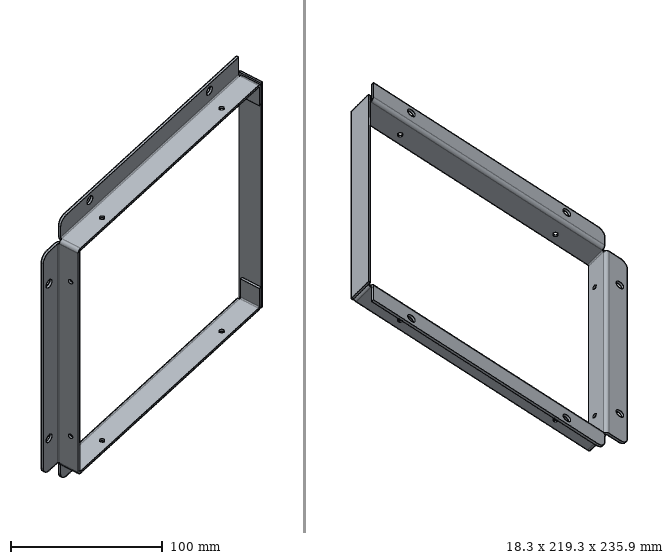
import cadquery as cq

depth = 18.26
overall_y = 219.27
overall_z = 235.95

sheet = 1.885
bend_inner = 0.8
bend_outer = bend_inner + sheet
frame_height = 203.2
tab_length = 19.05

strip_thickness = 1.52

flange_reach = (overall_z - frame_height) / 2
flange_corner = 6.35
flange_hole = 6.35
flange_hole_edge = 6.35

wall_hole = 3.45
wall_hole_edge = 6.35
wall_hole_x = depth - wall_hole_edge

hole_spacing_y = 131.6
hole_spacing_z = 139.7

half_height = frame_height / 2
strip_outer_y = overall_y / 2
tab_outer_y = strip_outer_y - strip_thickness
wall_outer_y = -overall_y / 2 + flange_reach
frame_mid_y = (tab_outer_y + wall_outer_y) / 2
frame_width = tab_outer_y - wall_outer_y

flange_length_y = frame_width - 2 * bend_outer
flange_length_z = frame_height - 2 * bend_outer


def rounded_block(width, height, radius):
    """Block with rounded X edges, from the end of the flange bend to the high-X side."""
    length = depth - bend_outer
    return (
        cq.Workplane("XY")
        .box(length, width, height)
        .edges("|X")
        .fillet(radius)
        .translate((bend_outer + length / 2, frame_mid_y, 0))
    )


def make_walls():
    """Three walls and two tabs, folded as one strip with an opening between the tabs."""
    outside = rounded_block(frame_width, frame_height, bend_outer)
    inside = rounded_block(frame_width - 2 * sheet, frame_height - 2 * sheet, bend_inner)
    opening = (
        cq.Workplane("XY")
        .box(2 * depth, 2 * bend_outer, frame_height - 2 * tab_length)
        .translate((depth, tab_outer_y, 0))
    )
    return outside.cut(inside).cut(opening)


def make_flange(length, hole_spacing, rounded_ends):
    """Flange and its bend, centred along Y, rising in Z from a wall whose outside is at Z = 0."""
    flange = (
        cq.Workplane("XZ")
        .moveTo(0, flange_reach)
        .lineTo(0, bend_inner)
        .radiusArc((bend_outer, -sheet), -bend_outer)
        .lineTo(bend_outer, 0)
        .radiusArc((sheet, bend_inner), bend_inner)
        .lineTo(sheet, flange_reach)
        .close()
        .extrude(length / 2, both=True)
    )
    flange = flange.edges("|X and >Z").edges(rounded_ends).fillet(flange_corner)
    holes = (
        cq.Workplane("YZ")
        .pushPoints([(side * hole_spacing / 2, flange_reach - flange_hole_edge) for side in (-1, 1)])
        .circle(flange_hole / 2)
        .extrude(sheet)
    )
    return flange.cut(holes)


def make_frame():
    """Folded frame: walls, tabs, three flanges and all holes."""
    top_flange = make_flange(flange_length_y, hole_spacing_y, "<Y").translate((0, frame_mid_y, half_height))
    bottom_flange = top_flange.mirror("XY")
    side_flange = (
        make_flange(flange_length_z, hole_spacing_z, "|X")
        .rotate((0, 0, 0), (1, 0, 0), 90)
        .translate((0, wall_outer_y, 0))
    )
    frame = make_walls()
    for flange in (top_flange, bottom_flange, side_flange):
        frame = frame.union(flange)

    top_and_bottom_holes = (
        cq.Workplane("XY")
        .pushPoints([(wall_hole_x, frame_mid_y + side * hole_spacing_y / 2) for side in (-1, 1)])
        .circle(wall_hole / 2)
        .extrude(frame_height, both=True)
    )
    side_holes = (
        cq.Workplane("XZ", origin=(0, wall_outer_y + sheet, 0))
        .pushPoints([(wall_hole_x, side * hole_spacing_z / 2) for side in (-1, 1)])
        .circle(wall_hole / 2)
        .extrude(sheet)
    )
    return frame.cut(top_and_bottom_holes).cut(side_holes)


def make_strip():
    """Flat strip lying against the outside of the tabs."""
    return (
        cq.Workplane("XY")
        .box(depth, strip_thickness, frame_height)
        .translate((depth / 2, tab_outer_y + strip_thickness / 2, 0))
    )


frame = make_frame()
strip = make_strip()

result = cq.Compound.makeCompound([frame.val(), strip.val()])